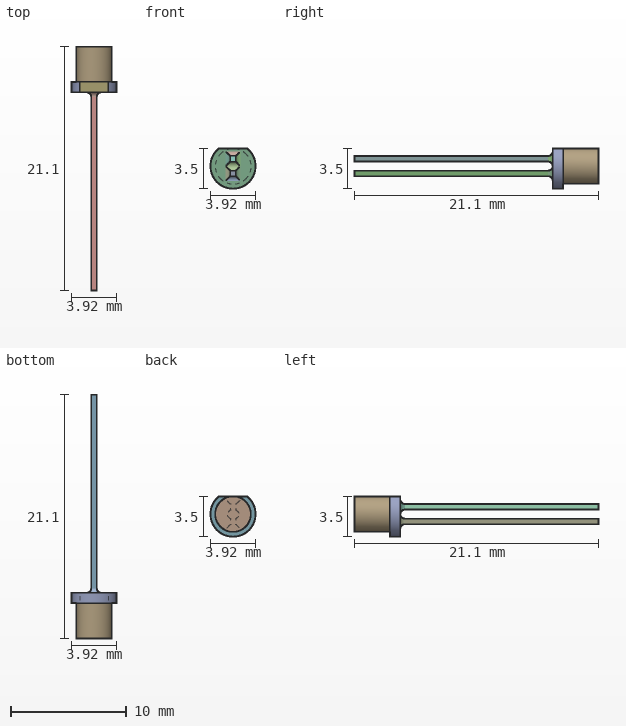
import cadquery as cq

total_length = 21.08
body_diameter = 3.08
body_length = 3.05
flange_diameter = 3.92
flange_thickness = 0.9
lead_width = 0.5
lead_pitch = 1.26

flat_height = body_diameter / 2
flare_radius = (lead_pitch - lead_width) / 2
lead_length = total_length - body_length - flange_thickness


def make_head():
    """Round body and flatted flange; the lead-side face lies at Y = 0."""
    flange = cq.Workplane("XZ").circle(flange_diameter / 2).extrude(-flange_thickness)
    flat_cutter = (
        cq.Workplane("XY")
        .workplane(offset=flat_height)
        .rect(2 * flange_diameter, 2 * flange_diameter)
        .extrude(flange_diameter)
    )
    body = (
        cq.Workplane("XZ", origin=(0, flange_thickness, 0))
        .circle(body_diameter / 2)
        .extrude(-body_length)
    )
    return flange.cut(flat_cutter).union(body)


def flare_profile(plane):
    """Lead foot with concave sides, extruded across the full foot width."""
    half_lead = lead_width / 2
    half_foot = half_lead + flare_radius
    arc_inset = flare_radius * (1 - 0.5**0.5)
    return (
        cq.Workplane(plane)
        .moveTo(-half_foot, 0)
        .threePointArc((-half_lead - arc_inset, -arc_inset), (-half_lead, -flare_radius))
        .lineTo(half_lead, -flare_radius)
        .threePointArc((half_lead + arc_inset, -arc_inset), (half_foot, 0))
        .close()
        .extrude(half_foot, both=True)
    )


def make_lead():
    """Square lead whose foot flares out on all four sides with mitred corners."""
    lead = cq.Workplane("XZ").rect(lead_width, lead_width).extrude(lead_length)
    flare_in_x = flare_profile("XY")
    flare_in_z = flare_profile(cq.Plane(origin=(0, 0, 0), xDir=(0, 0, 1), normal=(-1, 0, 0)))
    return lead.union(flare_in_x.intersect(flare_in_z))


result = make_head()
for side in (-1, 1):
    result = result.union(make_lead().translate((0, 0, side * lead_pitch / 2)))